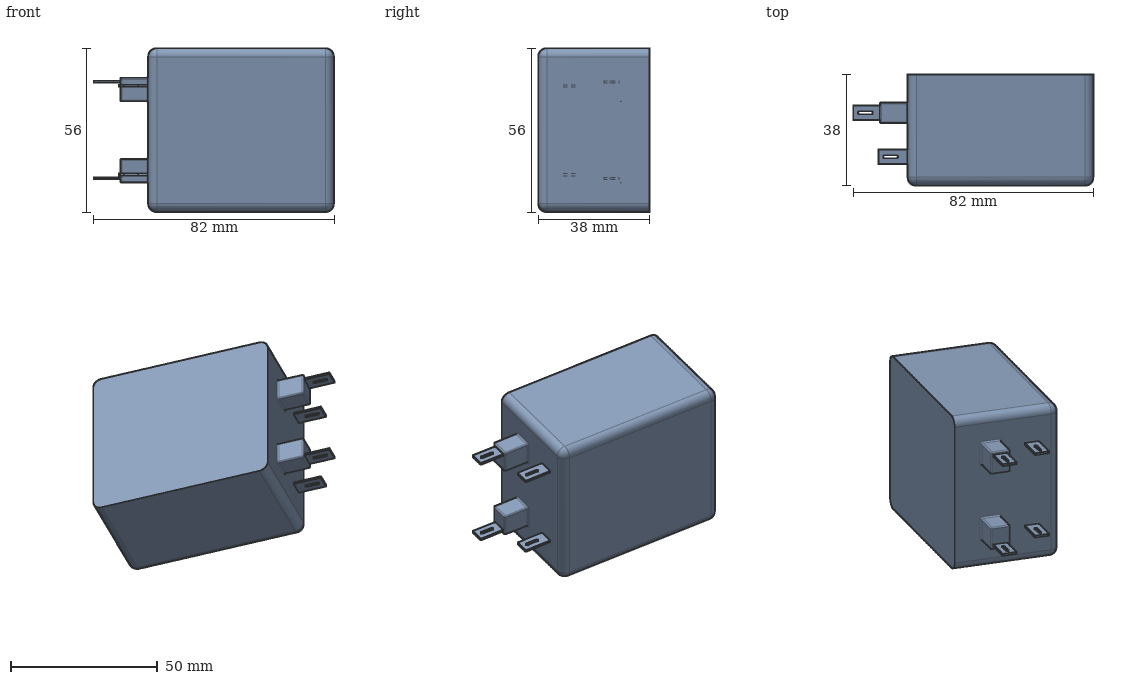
import cadquery as cq

overall_length = 82

case_length = 63.5
case_depth = 38.05
case_height = 56.0
case_radius = 3.0

boss_length = 9.4
boss_width = 7.05
boss_height = 8.1
boss_edge_radius = 0.5
boss_root_radius = 0.5
boss_y = 5.9
boss_z = 13.85

tab_width = 5.1
tab_thickness = 0.7
long_tab_reach = overall_length - case_length
long_tab_z = 16.5
short_tab_reach = 9.9
short_tab_y = -9.1
short_tab_z = 15.2

slot_length = 5.0
slot_width = 1.0
slot_tip_distance = 4.2

wall_x = -case_length / 2
embed = 0.8


def make_case():
    case = cq.Workplane("XY").box(case_length, case_depth, case_height)
    rounded_edges = case.edges("<Y or |Y")
    return rounded_edges.fillet(case_radius)


def add_boss(body, side):
    """Add a softened block to the -X face, blended into the wall at its root."""
    block = (
        cq.Workplane("XY")
        .box(boss_length + embed, boss_width, boss_height)
        .edges("|X or <X")
        .fillet(boss_edge_radius)
        .translate((wall_x + (embed - boss_length) / 2, boss_y, side * boss_z))
    )
    body = body.union(block)
    tolerance = boss_root_radius / 2
    root_zone = cq.selectors.BoxSelector(
        (wall_x - tolerance, boss_y - boss_width, side * boss_z - boss_height),
        (wall_x + tolerance, boss_y + boss_width, side * boss_z + boss_height),
    )
    return body.edges(root_zone).fillet(boss_root_radius)


def make_tab(reach, root_x, y, z):
    """Flat tab from root_x out to its tip, with a round-ended slot."""
    tip_x = wall_x - reach
    length = root_x + embed - tip_x
    blade = cq.Workplane("XY").box(length, tab_width, tab_thickness)
    blade = blade.translate((tip_x + length / 2, y, z))
    slot = (
        cq.Workplane("XY")
        .slot2D(slot_length, slot_width)
        .extrude(tab_thickness, both=True)
        .translate((tip_x + slot_tip_distance, y, z))
    )
    return blade.cut(slot)


result = make_case()
for side in (1, -1):
    result = add_boss(result, side)
    result = result.union(make_tab(long_tab_reach, wall_x - boss_length, boss_y, side * long_tab_z))
    result = result.union(make_tab(short_tab_reach, wall_x, short_tab_y, side * short_tab_z))